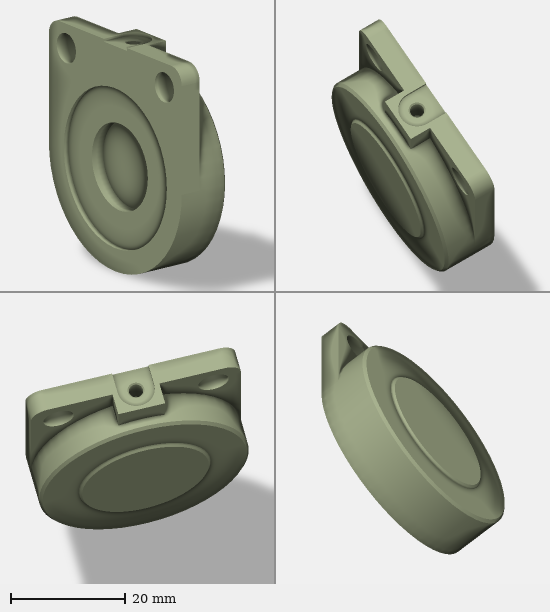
import cadquery as cq


housing_diameter = 38.0
housing_radius = housing_diameter / 2
overall_height = 42.0
top_z = overall_height - housing_radius
flange_thickness = 4.0
corner_radius = 3.0
housing_depth = 10.0
edge_chamfer = 0.5

mount_hole_diameter = 5.5
mount_hole_x = 14.03
mount_hole_z = top_z - 4.5

block_width = 8.5
block_depth = 8.0
port_y = flange_thickness
port_recess_width = 6.6
port_recess_depth = 0.5
port_diameter = 2.48
port_mouth_diameter = 3.0
port_depth = 5.05

head_diameter = 29.5
head_recess = 1.0
head_back = 5.05
rod_diameter = 24.0
rod_end = 10.5
pocket_diameter = 16.0
pocket_depth = 2.5


def cylinder_y(diameter, start_y, end_y):
    """Cylinder on the bore axis between two Y positions."""
    return (
        cq.Workplane("XZ", origin=(0, start_y, 0))
        .circle(diameter / 2)
        .extrude(start_y - end_y)
    )


def make_flange():
    """Front plate above the bore axis: rounded top corners and two mounting holes."""
    plate = (
        cq.Workplane("XY")
        .box(housing_diameter, flange_thickness, top_z, centered=(True, False, False))
    )
    plate = plate.edges("|Y and >Z").fillet(corner_radius)
    holes = (
        cq.Workplane("XZ")
        .pushPoints([(-mount_hole_x, mount_hole_z), (mount_hole_x, mount_hole_z)])
        .circle(mount_hole_diameter / 2)
        .extrude(-flange_thickness)
    )
    return plate.cut(holes)


def make_port_block():
    """Rectangular block that carries the port and runs down into the round housing."""
    block_height = top_z - head_diameter / 2
    return (
        cq.Workplane("XY")
        .box(block_width, block_depth, block_height, centered=(True, False, False))
        .translate((0, 0, top_z - block_height))
    )


def make_port_cut():
    """Shallow seat open to the mounting face, and a blind port with a countersunk mouth."""
    seat_floor_z = top_z - port_recess_depth
    half_width = port_recess_width / 2
    seat = (
        cq.Workplane("XY", origin=(0, 0, seat_floor_z))
        .moveTo(-half_width, 0)
        .lineTo(-half_width, port_y)
        .threePointArc((0, port_y + half_width), (half_width, port_y))
        .lineTo(half_width, 0)
        .close()
        .extrude(port_recess_depth)
    )
    port_top = cq.Workplane("XY", origin=(0, port_y, seat_floor_z))
    port = port_top.circle(port_diameter / 2).extrude(-port_depth)
    mouth_depth = (port_mouth_diameter - port_diameter) / 2
    mouth = (
        port_top.circle(port_mouth_diameter / 2)
        .workplane(offset=-mouth_depth)
        .circle(port_diameter / 2)
        .loft(ruled=True)
    )
    return seat.union(port).union(mouth)


def make_housing():
    """Flange, round body and port block, with a stepped bore that fits the piston."""
    body = cylinder_y(housing_diameter, 0, housing_depth).faces(">Y").edges().chamfer(edge_chamfer)
    bore = cylinder_y(head_diameter, 0, head_back)
    rod_hole = cylinder_y(rod_diameter, head_back, housing_depth)
    solid = make_flange().union(body).union(make_port_block())
    return solid.cut(bore).cut(rod_hole).cut(make_port_cut())


def make_piston():
    """Stepped piston with a round pocket in its head and a chamfered rod end."""
    rod = cylinder_y(rod_diameter, head_back, rod_end).faces(">Y").edges().chamfer(edge_chamfer)
    head = cylinder_y(head_diameter, head_recess, head_back)
    pocket = cylinder_y(pocket_diameter, head_recess, head_recess + pocket_depth)
    return head.union(rod).cut(pocket)


housing = make_housing()
piston = make_piston()

result = cq.Compound.makeCompound([housing.val(), piston.val()])